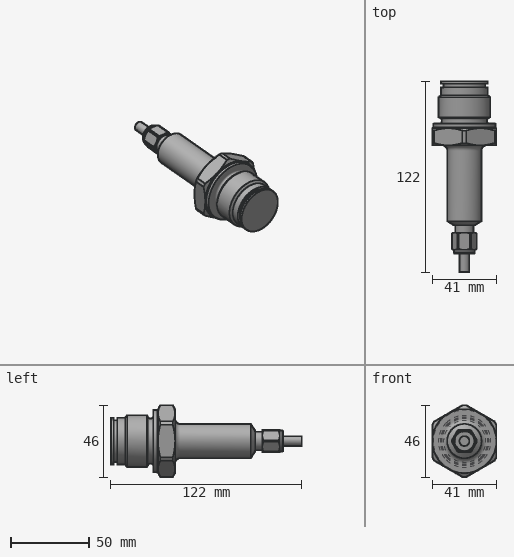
import cadquery as cq
import math

LENGTH = 122.0

CABLE_DIA = 6.3
CABLE_LENGTH = 11.8
COLLAR_DIA = 13.5
COLLAR_LENGTH = 2.3
COLLAR_CHAMFER = (0.4, 0.7)
GLAND_FLATS = 14.3
GLAND_CORNERS = 15.9
GLAND_LENGTH = 11.1
GLAND_CHAMFER_ANGLE = 40.0
GLAND_NECK_DIA = 12.0
GLAND_NECK_LENGTH = 4.6

SHAFT_DIA = 22.0
SHAFT_TIP_DIA = 13.5
SHAFT_TIP_LENGTH = 2.7
SHAFT_FILLET = 3.3

NUT_FLATS = 41.0
NUT_CORNERS = 46.0
NUT_LENGTH = 10.9
NUT_CHAMFER_ANGLE = 30.0
WASHER_DIA = 40.0
WASHER_LENGTH = 2.6
WASHER_FACE_DIA = 38.2
WASHER_CHAMFER_LENGTH = 0.2
WASHER_FLARE_DIA = 40.5
WASHER_FLARE_LENGTH = 0.6

LIP_DIA = 30.0
LIP_LENGTH = 1.7
GROOVE_DIA = 26.8
GROOVE_END = 4.0
SLEEVE_DIA = 33.3
SLEEVE_CHAMFER_START = 9.0
SLEEVE_CHAMFER_END = 10.4
SLEEVE_END = 22.9
UNDERCUT_DIA = 29.2
UNDERCUT_SHOULDER_DIA = 31.0
UNDERCUT_SHOULDER = 23.7
UNDERCUT_FILLET = 1.1
WASHER_FACE = 27.0

collar_start = CABLE_LENGTH
gland_start = collar_start + COLLAR_LENGTH
gland_end = gland_start + GLAND_LENGTH
tip_start = gland_end + GLAND_NECK_LENGTH
shaft_start = tip_start + SHAFT_TIP_LENGTH
washer_end = LENGTH - WASHER_FACE
nut_end = washer_end - WASHER_LENGTH - WASHER_FLARE_LENGTH
nut_start = nut_end - NUT_LENGTH


def revolve(profile):
    """Close a (radius, y) outline and turn it about the Y axis."""
    return profile.close().revolve(360, (0, 0, 0), (0, 1, 0))


def hexagon(flats, corners, start, length, first_corner, chamfer_angle):
    """Hexagon along Y with rounded corners and conical chamfers at both ends."""
    circumscribed = flats / math.cos(math.pi / 6)
    prism = (
        cq.Workplane("XZ", origin=(0, start, 0))
        .transformed(rotate=(0, 0, first_corner))
        .polygon(6, circumscribed)
        .extrude(-length)
    )
    face_radius = flats / 2
    corner_radius = corners / 2
    drop = (corner_radius - face_radius) * math.tan(math.radians(chamfer_angle))
    end = start + length
    envelope = revolve(
        cq.Workplane("XY")
        .moveTo(0, start)
        .lineTo(face_radius, start)
        .lineTo(corner_radius, start + drop)
        .lineTo(corner_radius, end - drop)
        .lineTo(face_radius, end)
        .lineTo(0, end)
    )
    return prism.intersect(envelope)


def cable_and_collar():
    chamfer_radial, chamfer_axial = COLLAR_CHAMFER
    return revolve(
        cq.Workplane("XY")
        .moveTo(0, 0)
        .lineTo(CABLE_DIA / 2, 0)
        .lineTo(CABLE_DIA / 2, collar_start)
        .lineTo(COLLAR_DIA / 2 - chamfer_radial, collar_start)
        .lineTo(COLLAR_DIA / 2, collar_start + chamfer_axial)
        .lineTo(COLLAR_DIA / 2, gland_start)
        .lineTo(0, gland_start)
    )


def shaft():
    shaft_radius = SHAFT_DIA / 2
    return revolve(
        cq.Workplane("XY")
        .moveTo(0, gland_end)
        .lineTo(GLAND_NECK_DIA / 2, gland_end)
        .lineTo(GLAND_NECK_DIA / 2, tip_start)
        .lineTo(SHAFT_TIP_DIA / 2, tip_start)
        .lineTo(shaft_radius, shaft_start)
        .lineTo(shaft_radius, nut_start - SHAFT_FILLET)
        .radiusArc((shaft_radius + SHAFT_FILLET, nut_start), SHAFT_FILLET)
        .lineTo(0, nut_start)
    )


def connector():
    lip_radius = LIP_DIA / 2
    undercut_radius = UNDERCUT_DIA / 2
    shoulder = LENGTH - UNDERCUT_SHOULDER
    return revolve(
        cq.Workplane("XY")
        .moveTo(0, nut_end)
        .lineTo(WASHER_FLARE_DIA / 2, nut_end)
        .lineTo(WASHER_DIA / 2, washer_end - WASHER_LENGTH)
        .lineTo(WASHER_DIA / 2, washer_end - WASHER_CHAMFER_LENGTH)
        .lineTo(WASHER_FACE_DIA / 2, washer_end)
        .lineTo(undercut_radius + UNDERCUT_FILLET, washer_end)
        .radiusArc((undercut_radius, washer_end + UNDERCUT_FILLET), UNDERCUT_FILLET)
        .lineTo(undercut_radius, shoulder - UNDERCUT_FILLET)
        .radiusArc((UNDERCUT_SHOULDER_DIA / 2, shoulder), UNDERCUT_FILLET)
        .lineTo(SLEEVE_DIA / 2, LENGTH - SLEEVE_END)
        .lineTo(SLEEVE_DIA / 2, LENGTH - SLEEVE_CHAMFER_END)
        .lineTo(lip_radius, LENGTH - SLEEVE_CHAMFER_START)
        .lineTo(lip_radius, LENGTH - GROOVE_END)
        .lineTo(GROOVE_DIA / 2, LENGTH - GROOVE_END)
        .lineTo(GROOVE_DIA / 2, LENGTH - LIP_LENGTH)
        .lineTo(lip_radius, LENGTH - LIP_LENGTH)
        .lineTo(lip_radius, LENGTH)
        .lineTo(0, LENGTH)
    )


gland = hexagon(GLAND_FLATS, GLAND_CORNERS, gland_start, GLAND_LENGTH, 0, GLAND_CHAMFER_ANGLE)
nut = hexagon(NUT_FLATS, NUT_CORNERS, nut_start, NUT_LENGTH, 30, NUT_CHAMFER_ANGLE)

result = cable_and_collar().union(gland).union(shaft()).union(nut).union(connector())